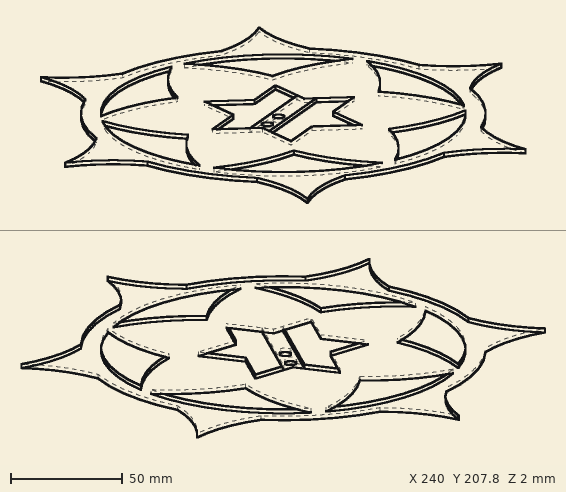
import cadquery as cq
import math

thickness = 2.0
fold_count = 6
fold_angle = 360.0 / fold_count

ring_outer_radius = 91.0
ring_inner_radius = 82.0
spike_tip_radius = 120.0
spike_base_half_angle = 12.6
spike_side_radius = 65.0

petal_tip_radius = 85.0
petal_half_width = 29.3
petal_middle_radius = 23.0
first_petal_angle = fold_angle / 2

star_tip_radius = 38.9
star_valley_radius = star_tip_radius / math.sqrt(3)

bar_width = 9.5
bar_hole_diameter = 5.2
bar_hole_pitch = 12.0
upper_hole_y = -5.0


def polar(radius, angle):
    """Point at a radius and an angle in degrees."""
    radians = math.radians(angle)
    return (radius * math.cos(radians), radius * math.sin(radians))


def disc(radius):
    return cq.Workplane("XY").circle(radius).extrude(thickness)


def spike(angle):
    """Spike with two concave sides, closed by a straight base within the ring band."""
    tip = (spike_tip_radius, 0)
    left_base = polar(ring_outer_radius, spike_base_half_angle)
    right_base = polar(ring_outer_radius, -spike_base_half_angle)
    inner_x = (ring_outer_radius + ring_inner_radius) / 2
    inner_half_width = inner_x * math.tan(math.radians(spike_base_half_angle))
    return (
        cq.Workplane("XY")
        .moveTo(inner_x, -inner_half_width)
        .lineTo(*right_base)
        .radiusArc(tip, spike_side_radius)
        .radiusArc(left_base, spike_side_radius)
        .lineTo(inner_x, inner_half_width)
        .close()
        .extrude(thickness)
        .rotate((0, 0, 0), (0, 0, 1), angle)
    )


def petal(angle):
    """Lens of two equal arcs with its outer tip in the ring."""
    inner_tip_x = 2 * petal_middle_radius - petal_tip_radius
    return (
        cq.Workplane("XY")
        .moveTo(inner_tip_x, 0)
        .threePointArc((petal_middle_radius, petal_half_width), (petal_tip_radius, 0))
        .threePointArc((petal_middle_radius, -petal_half_width), (inner_tip_x, 0))
        .close()
        .extrude(thickness)
        .rotate((0, 0, 0), (0, 0, 1), angle)
    )


def star_prism():
    points = []
    for i in range(fold_count):
        points.append(polar(star_tip_radius, i * fold_angle))
        points.append(polar(star_valley_radius, (i + 0.5) * fold_angle))
    return cq.Workplane("XY").polyline(points).close().extrude(thickness)


def make_plate():
    """Spiked ring joined to the flower, with the star opening cut through."""
    plate = disc(ring_outer_radius).cut(disc(ring_inner_radius))
    for i in range(fold_count):
        plate = plate.union(spike(i * fold_angle))
        plate = plate.union(petal(first_petal_angle + i * fold_angle))
    return plate.cut(star_prism())


def make_bar():
    """Flush bar whose notched ends fit the inward corners of the star opening."""
    hole_centres = [(0, upper_hole_y), (0, upper_hole_y - bar_hole_pitch)]
    strip = (
        cq.Workplane("XY")
        .rect(bar_width, 2 * star_tip_radius)
        .extrude(thickness)
    )
    holes = (
        cq.Workplane("XY")
        .pushPoints(hole_centres)
        .circle(bar_hole_diameter / 2)
        .extrude(thickness)
    )
    return strip.intersect(star_prism()).cut(holes)


plate = make_plate().solids()
bar = make_bar().solids()

result = cq.Compound.makeCompound([plate.val(), bar.val()])